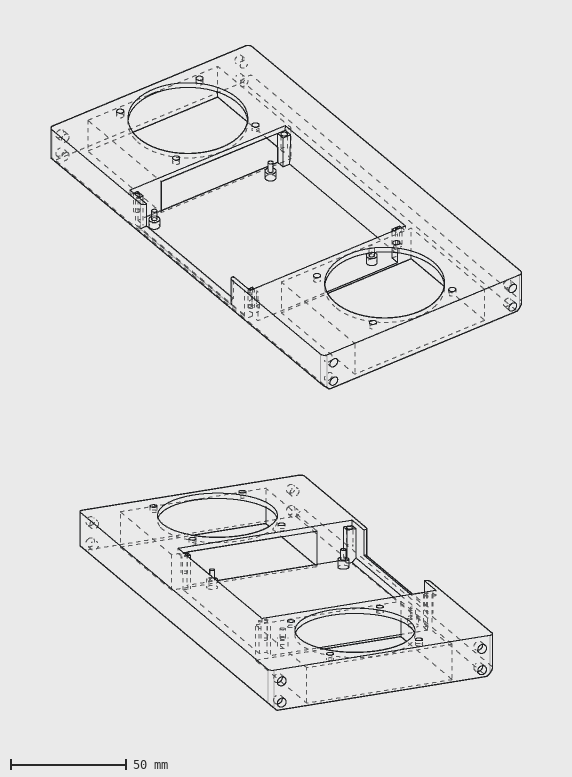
import cadquery as cq

length = 206.0
width = 106.0
height = 19.0
corner_radius = 2.0
bottom_chamfer = 3.3

top_thickness = 2.5
floor_thickness = 1.0
front_wall = 2.0
end_wall = 2.7

window_half_length = 45.1
window_back = 31.3
window_front = -width / 2 + front_wall
inner_chamfer = 1.9
back_wall_taper = 0.6

bay_width = 68.8
bay_outer = length / 2 - end_wall
fan_x = 74.0
fan_diameter = 52.0
fan_screw_pitch = 42.0
fan_screw_diameter = 3.0

post_size = 4.1
post_hole_diameter = 2.9
post_hole_depth = 8.2

standoff_diameter = 4.7
standoff_height = 3.7
pin_diameter = 2.3
pin_height = 4.5
standoff_back_y = 18.1
standoff_front_y = -43.5
standoff_x = 37.5
standoff_back_right_x = 38.5

notch_inner_half_length = 32.5
notch_inner_bottom = 7.2
notch_round = 1.9

end_hole_diameter = 4.1
end_hole_depth = 4.1
end_hole_y = 47.4
end_hole_heights = (3.3, 13.2)


def box_between(x0, x1, y0, y1, z0, z1):
    return cq.Workplane("XY").box(x1 - x0, y1 - y0, z1 - z0, centered=False).translate((x0, y0, z0))


def cylinder(x, y, z, diameter, depth):
    return cq.Workplane("XY").circle(diameter / 2).extrude(depth).translate((x, y, z))


def make_body():
    body = cq.Workplane("XY").box(length, width, height, centered=(True, True, False))
    body = body.edges("|Z").fillet(corner_radius)
    for side in (-1, 1):
        edge_y = side * width / 2
        corner = [
            (edge_y, 0),
            (edge_y - side * bottom_chamfer, 0),
            (edge_y, bottom_chamfer),
        ]
        wedge = cq.Workplane("YZ").polyline(corner).close().extrude(length / 2, both=True)
        body = body.cut(wedge)
    return body


def make_compartment():
    profile = [
        (window_front + inner_chamfer, floor_thickness),
        (window_back - back_wall_taper, floor_thickness),
        (window_back, height),
        (window_front, height),
        (window_front, floor_thickness + inner_chamfer),
    ]
    return cq.Workplane("YZ").polyline(profile).close().extrude(window_half_length, both=True)


def make_bay(side):
    bay_length = bay_outer - window_half_length
    bay_x = side * (bay_outer + window_half_length) / 2
    return (
        cq.Workplane("XY")
        .box(bay_length, bay_width, height - top_thickness, centered=(True, True, False))
        .translate((bay_x, 0, 0))
    )


def make_fan_openings(side):
    centre_x = side * fan_x
    plate_bottom = height - top_thickness
    openings = cylinder(centre_x, 0, plate_bottom, fan_diameter, top_thickness)
    for dx in (-fan_screw_pitch / 2, fan_screw_pitch / 2):
        for y in (-fan_screw_pitch / 2, fan_screw_pitch / 2):
            screw = cylinder(centre_x + dx, y, plate_bottom, fan_screw_diameter, top_thickness)
            openings = openings.union(screw)
    return openings


def make_post(x, y):
    post_top = height - top_thickness
    half = post_size / 2
    post = box_between(x - half, x + half, y - half, y + half, 0, post_top)
    return post.cut(cylinder(x, y, post_top - post_hole_depth, post_hole_diameter, post_hole_depth))


def make_standoff(x, y):
    base = cylinder(x, y, 0, standoff_diameter, floor_thickness + standoff_height)
    pin = cylinder(x, y, 0, pin_diameter, floor_thickness + standoff_height + pin_height)
    return base.union(pin)


def cut_notch(part):
    notch = box_between(
        -notch_inner_half_length,
        notch_inner_half_length,
        -width / 2,
        window_front,
        notch_inner_bottom,
        height,
    )
    part = part.cut(notch)
    margin = 0.2
    outline_box = cq.selectors.BoxSelector(
        (-notch_inner_half_length - margin, -width / 2 - margin, notch_inner_bottom - margin),
        (notch_inner_half_length + margin, -width / 2 + margin, height - margin),
    )
    return part.edges(outline_box).fillet(notch_round)


body = make_body()
result = body.cut(make_compartment())

for side in (-1, 1):
    result = result.cut(make_bay(side)).cut(make_fan_openings(side))

post_x = window_half_length - post_size / 2
for x in (-post_x, post_x):
    for y in (window_front + post_size / 2, window_back - post_size / 2):
        result = result.union(make_post(x, y).intersect(body))

for x, y in (
    (-standoff_x, standoff_front_y),
    (standoff_x, standoff_front_y),
    (-standoff_x, standoff_back_y),
    (standoff_back_right_x, standoff_back_y),
):
    result = result.union(make_standoff(x, y))

result = cut_notch(result)

for side in (-1, 1):
    for y in (-end_hole_y, end_hole_y):
        for z in end_hole_heights:
            hole = (
                cq.Workplane("YZ")
                .center(y, z)
                .circle(end_hole_diameter / 2)
                .extrude(-side * end_hole_depth)
                .translate((side * length / 2, 0, 0))
            )
            result = result.cut(hole)